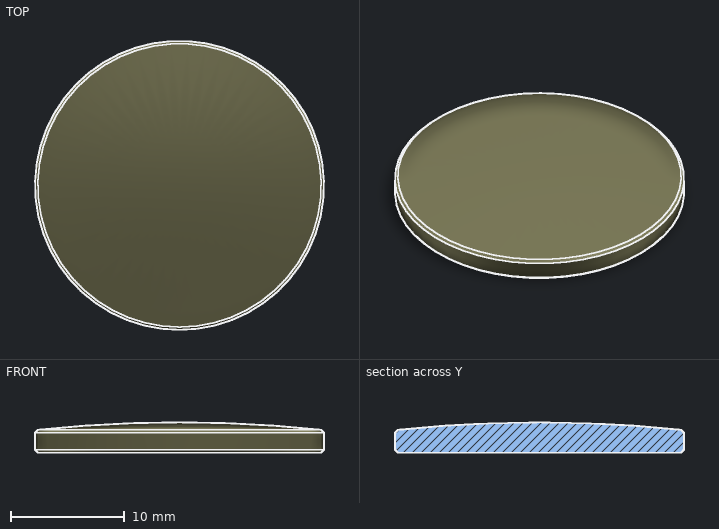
import cadquery as cq

diameter = 25.4
center_thickness = 2.7
dome_height = 0.65
bevel = 0.25

radius = diameter / 2
dome_edge_radius = radius - bevel
dome_edge_z = center_thickness - dome_height

sphere_radius = (dome_edge_radius**2 + dome_height**2) / (2 * dome_height)
mid_radius = dome_edge_radius / 2
sphere_center_z = center_thickness - sphere_radius
mid_z = sphere_center_z + (sphere_radius**2 - mid_radius**2) ** 0.5

half_section = (
    cq.Workplane("YZ")
    .moveTo(0, 0)
    .lineTo(-dome_edge_radius, 0)
    .lineTo(-radius, bevel)
    .lineTo(-radius, dome_edge_z - bevel)
    .lineTo(-dome_edge_radius, dome_edge_z)
    .threePointArc((-mid_radius, mid_z), (0, center_thickness))
    .close()
)

result = half_section.revolve(360, (0, 0, 0), (0, 1, 0))